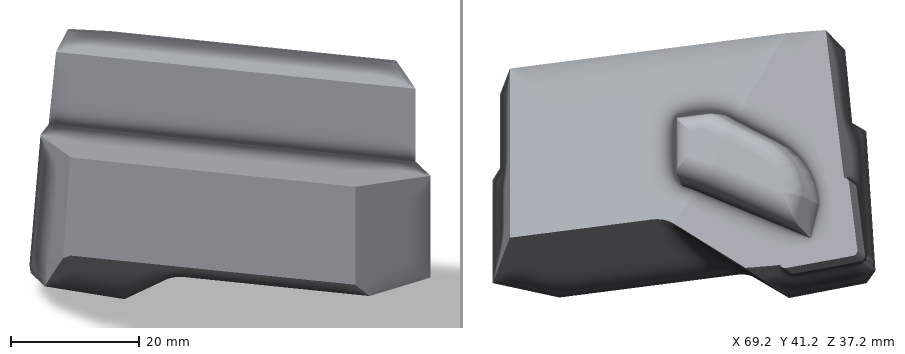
import cadquery as cq
import math

LENGTH = 69.2
HEIGHT = 37.25
BIG = 138.4

RAIL_FRONT = 22.85
RAIL_BACK = 34.8
SHOULDER_INNER_Z = 25.2
SHOULDER_FRONT_Z = 28.4
SHANK_BOTTOM = 9.6
FRONT_WALL_BOTTOM = 12.2
HEAD_BOTTOM = 0.55
HEAD_HEEL = 18.0
HEEL_TOP = 30.7
HEEL_RADIUS = 6.2
POINT_Y = 13.8
POINT_ANGLE = 30.0

EDGE_RUN = 0.136
EDGE_DROP = 0.1
RAKE_LEAN = 0.095
INSERT_CORNER = (-0.1, 29.9, 1.2)
INSERT_SIDE = 12.6
INSERT_THICKNESS = 4.6
NOSE_RADIUS = 0.8
OVERHANG = 0.7
HEAD_CHAMFER = 0.6

seat = cq.Plane(
    origin=INSERT_CORNER,
    xDir=(1, EDGE_RUN, -EDGE_DROP),
    normal=(EDGE_RUN + EDGE_DROP * RAKE_LEAN, -1, RAKE_LEAN),
)

CORNER_FLATS = [
    ((13.5, 0.9, 28.3), (-1, -0.67, 0.022)),
    ((12.0, 2.55, 9.5), (-1, -0.67, 0.06)),
    ((5.25, 14.5, 26.4), (-1, -0.4, 0.069)),
    ((15.35, 0.0, 28.4), (-1, -1.7, 0.039)),
]

CLAMP_FOOT = (7.3, 4.15)
CLAMP_HEEL = (28.8, 13.85)
CLAMP_CORNER = (28.8, 26.3)
CLAMP_SHOULDER = (19.8, 26.3)
CLAMP_CHEEK = (11.6, 20.9)
CLAMP_BULGE = (7.2, 16.25)
CLAMP_TIP = (5.55, 9.7)
CLAMP_BASE = 30.45
CLAMP_TOP = 41.2
CLAMP_DRAFT = 13.0
CLAMP_SHOULDER_RADIUS = 4.15
CLAMP_RIM_RADIUS = 3.2
CREST_POINT = (18.7, CLAMP_TOP, 19.4)
CREST_NORMAL = (-0.26, 1, -0.05)
CREST_RIM_FLOOR = 36.2


def space_beyond(point, normal):
    """Everything on the outward side of a plane, as a large block."""
    return cq.Workplane(cq.Plane(origin=point, normal=normal)).rect(BIG, BIG).extrude(BIG)


def make_shank():
    section = [
        (0, 0),
        (RAIL_BACK, 0),
        (RAIL_BACK, HEIGHT),
        (RAIL_FRONT, HEIGHT),
        (RAIL_FRONT, SHOULDER_INNER_Z),
        (0, SHOULDER_FRONT_Z),
    ]
    shank = cq.Workplane("YZ").polyline(section).close().extrude(LENGTH)

    side = (
        cq.Workplane("XZ")
        .polyline([
            (0, HEAD_BOTTOM),
            (HEAD_HEEL, HEAD_BOTTOM),
            (HEEL_TOP, SHANK_BOTTOM),
            (LENGTH, SHANK_BOTTOM),
            (LENGTH, HEIGHT),
            (0, HEIGHT),
        ])
        .close()
        .extrude(-RAIL_BACK)
        .edges(cq.selectors.NearestToPointSelector((HEEL_TOP, RAIL_BACK / 2, SHANK_BOTTOM)))
        .fillet(HEEL_RADIUS)
    )
    shank = shank.intersect(side)

    shank = shank.cut(space_beyond((0, 0, FRONT_WALL_BOTTOM), (0, -1, -1)))
    slant = math.tan(math.radians(POINT_ANGLE))
    for direction in (-1, 1):
        shank = shank.cut(space_beyond((LENGTH, POINT_Y, 0), (1, direction * slant, 0)))
    return shank


def shape_head(shank):
    """Trim the head parallel to the insert, then flatten its front corner."""
    end_face = seat.toWorldCoords((OVERHANG, 0, 0))
    underside = seat.toWorldCoords((0, OVERHANG, 0))
    bevel = seat.toWorldCoords((OVERHANG + HEAD_CHAMFER, OVERHANG, 0))
    trims = [
        (end_face, -seat.xDir),
        (underside, -seat.yDir),
        (bevel, -seat.xDir - seat.yDir),
        (seat.origin, -seat.zDir),
    ]
    head = shank
    for point, normal in trims + CORNER_FLATS:
        head = head.cut(space_beyond(point, normal))
    return head


def make_clamp():
    """A drafted finger that widens into the housing, with a sloping rounded crest."""
    clamp = (
        cq.Workplane("XZ", origin=(0, CLAMP_BASE, 0))
        .moveTo(*CLAMP_FOOT)
        .lineTo(*CLAMP_HEEL)
        .lineTo(*CLAMP_CORNER)
        .lineTo(*CLAMP_SHOULDER)
        .lineTo(*CLAMP_CHEEK)
        .threePointArc(CLAMP_BULGE, CLAMP_TIP)
        .close()
        .extrude(CLAMP_BASE - CLAMP_TOP, taper=CLAMP_DRAFT)
    )
    clamp = clamp.cut(space_beyond(CREST_POINT, CREST_NORMAL))
    mid_height = (CLAMP_BASE + CLAMP_TOP) / 2
    shoulder_edge = cq.selectors.NearestToPointSelector((CLAMP_SHOULDER[0], mid_height, CLAMP_SHOULDER[1]))
    clamp = clamp.edges(shoulder_edge).fillet(CLAMP_SHOULDER_RADIUS)
    crest_rim = cq.selectors.BoxSelector((0, CREST_RIM_FLOOR, 0), (LENGTH, BIG, HEIGHT))
    return clamp.edges(crest_rim).fillet(CLAMP_RIM_RADIUS)


def make_insert():
    half = INSERT_SIDE / 2
    return (
        cq.Workplane(seat)
        .center(half, half)
        .rect(INSERT_SIDE, INSERT_SIDE)
        .extrude(INSERT_THICKNESS)
        .edges(cq.selectors.ParallelDirSelector(seat.zDir))
        .fillet(NOSE_RADIUS)
    )


insert = make_insert()
housing = shape_head(make_shank()).union(make_clamp()).cut(insert)

result = cq.Compound.makeCompound([housing.val(), insert.val()])